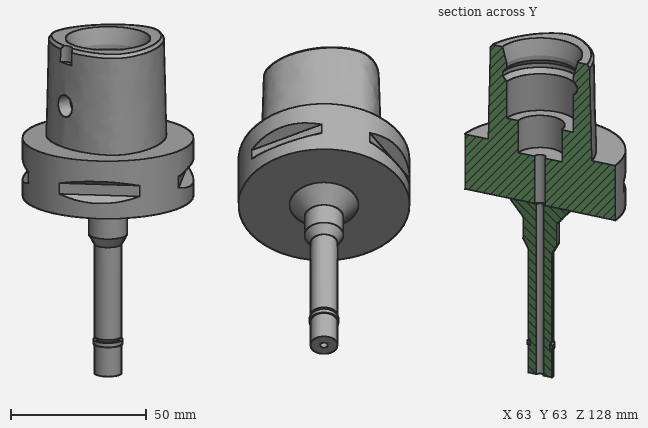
import cadquery as cq
import math


FLANGE_RADIUS = 31.5
FLANGE_HEIGHT = 22.0
SHANK_RADIUS = 22.1
SHANK_LOBE = 1.4
SHANK_HEIGHT = 38.0
SHANK_TAPER = 1 / 20
RIM_CHAMFER_HEIGHT = 1.3
RIM_CHAMFER_INSET = 1.0
PROFILE_POINTS = 72

MOUTH_RADIUS = 15.6
MOUTH_DEPTH = 6.3
BORE_RADIUS = 13.8
BORE_DEPTH = 28.2
BORE_GROOVE_TOP_DEPTH = 8.0
BORE_GROOVE_BOTTOM_DEPTH = 13.6
BORE_GROOVE_CUT = 1.7
BORE_GROOVE_FLANK = 1.9
LOWER_BORE_RADIUS = 9.1
LOWER_BORE_DEPTH = 41.0
ADAPTER_PASSAGE_RADIUS = 2.2

NOTCH_RADIUS = 3.7
NOTCH_OFFSET = 21.5
NOTCH_DEPTH = 6.1
BLIND_HOLE_RADIUS = 4.1
BLIND_HOLE_DROP = 22.3
BLIND_HOLE_FLOOR = 14.5

SLOT_COUNT = 4
SLOT_FIRST_ANGLE = 45
SLOT_FLOOR_DISTANCE = 27.8
SLOT_FLOOR_HEIGHT = 4.1
SLOT_DROP = 12.0
SLOT_FLANK_ANGLE = 30

OVERALL_LENGTH = 128
SHAFT_LENGTH = OVERALL_LENGTH - SHANK_HEIGHT - FLANGE_HEIGHT
ROOT_RADIUS = 12.7
NECK_RADIUS = 7.2
ROOT_CONE_DEPTH = 6.1
NECK_DEPTH = 14.7
NECK_CONE_DEPTH = 18.5
ROD_RADIUS = 5.0
RELIEF_TOP_DEPTH = 53.9
SHAFT_PASSAGE_RADIUS = 1.4

RING_RADIUS = 5.4
RING_SEAT_RADIUS = 4.1
RING_TOP_DEPTH = 55.0
RING_BOTTOM_DEPTH = 56.7

RIM_Z = SHANK_HEIGHT
UNDERSIDE_Z = -FLANGE_HEIGHT


def revolve_profile(points):
    """Revolve (radius, height) points about the Z axis."""
    return cq.Workplane("XZ").polyline(points).close().revolve(360, (0, 0), (0, 1))


def lobed_point(mean_radius, angle):
    """Point of the three-lobed curve whose outward normal lies at the given angle."""
    support = mean_radius - SHANK_LOBE * math.sin(3 * angle)
    slope = -3 * SHANK_LOBE * math.cos(3 * angle)
    x = support * math.cos(angle) - slope * math.sin(angle)
    y = support * math.sin(angle) + slope * math.cos(angle)
    return (x, y)


def lobed_wire(mean_radius, height):
    """Closed lobed outline at one height, starting on the -Y side."""
    points = []
    for index in range(PROFILE_POINTS):
        angle = -math.pi / 2 + 2 * math.pi * index / PROFILE_POINTS
        x, y = lobed_point(mean_radius, angle)
        points.append(cq.Vector(x, y, height))
    return cq.Wire.assembleEdges([cq.Edge.makeSpline(points, periodic=True)])


def shank_radius_at(height):
    return SHANK_RADIUS - height * SHANK_TAPER / 2


def make_shank():
    chamfer_z = RIM_Z - RIM_CHAMFER_HEIGHT
    chamfer_radius = shank_radius_at(chamfer_z)
    base = lobed_wire(SHANK_RADIUS, 0)
    chamfer_start = lobed_wire(chamfer_radius, chamfer_z)
    rim = lobed_wire(chamfer_radius - RIM_CHAMFER_INSET, RIM_Z)
    return cq.Workplane(cq.Solid.makeLoft([base, chamfer_start, rim], True))


def make_bore_cutter():
    groove_radius = BORE_RADIUS + BORE_GROOVE_CUT
    depth_profile = [
        (0, 0),
        (MOUTH_RADIUS, 0),
        (BORE_RADIUS, MOUTH_DEPTH),
        (BORE_RADIUS, BORE_GROOVE_TOP_DEPTH),
        (groove_radius, BORE_GROOVE_TOP_DEPTH + BORE_GROOVE_FLANK),
        (groove_radius, BORE_GROOVE_BOTTOM_DEPTH - BORE_GROOVE_FLANK),
        (BORE_RADIUS, BORE_GROOVE_BOTTOM_DEPTH),
        (BORE_RADIUS, BORE_DEPTH),
        (LOWER_BORE_RADIUS, BORE_DEPTH),
        (LOWER_BORE_RADIUS, LOWER_BORE_DEPTH),
        (ADAPTER_PASSAGE_RADIUS, LOWER_BORE_DEPTH),
        (ADAPTER_PASSAGE_RADIUS, SHANK_HEIGHT + FLANGE_HEIGHT),
        (0, SHANK_HEIGHT + FLANGE_HEIGHT),
    ]
    return revolve_profile([(radius, RIM_Z - depth) for radius, depth in depth_profile])


def make_notch_cutter():
    return (
        cq.Workplane("XY", origin=(0, -NOTCH_OFFSET, RIM_Z - NOTCH_DEPTH))
        .circle(NOTCH_RADIUS)
        .extrude(NOTCH_DEPTH)
    )


def make_blind_hole_cutter():
    return (
        cq.Workplane("XZ", origin=(0, -BLIND_HOLE_FLOOR, RIM_Z - BLIND_HOLE_DROP))
        .circle(BLIND_HOLE_RADIUS)
        .extrude(FLANGE_RADIUS - BLIND_HOLE_FLOOR)
    )


def make_slot_cutter(angle):
    """Straight slot across the flange, with a flat floor and flanks that open outward."""
    half_floor = SLOT_FLOOR_HEIGHT / 2
    slot_depth = FLANGE_RADIUS - SLOT_FLOOR_DISTANCE
    half_mouth = half_floor + slot_depth * math.tan(math.radians(SLOT_FLANK_ANGLE))
    section = [
        (SLOT_FLOOR_DISTANCE, -SLOT_DROP - half_floor),
        (FLANGE_RADIUS, -SLOT_DROP - half_mouth),
        (FLANGE_RADIUS, -SLOT_DROP + half_mouth),
        (SLOT_FLOOR_DISTANCE, -SLOT_DROP + half_floor),
    ]
    slot = cq.Workplane("XZ").polyline(section).close().extrude(FLANGE_RADIUS, both=True)
    return slot.rotate((0, 0, 0), (0, 0, 1), angle)


def make_adapter():
    flange = cq.Workplane("XY").circle(FLANGE_RADIUS).extrude(UNDERSIDE_Z)
    adapter = flange.union(make_shank())
    adapter = adapter.cut(make_bore_cutter())
    adapter = adapter.cut(make_notch_cutter())
    adapter = adapter.cut(make_blind_hole_cutter())
    for index in range(SLOT_COUNT):
        adapter = adapter.cut(make_slot_cutter(SLOT_FIRST_ANGLE + index * 360 / SLOT_COUNT))
    return adapter


def make_shaft():
    depth_profile = [
        (SHAFT_PASSAGE_RADIUS, 0),
        (ROOT_RADIUS, 0),
        (NECK_RADIUS, ROOT_CONE_DEPTH),
        (NECK_RADIUS, NECK_DEPTH),
        (ROD_RADIUS, NECK_CONE_DEPTH),
        (ROD_RADIUS, RELIEF_TOP_DEPTH),
        (RING_SEAT_RADIUS, RING_TOP_DEPTH),
        (RING_SEAT_RADIUS, RING_BOTTOM_DEPTH),
        (ROD_RADIUS, RING_BOTTOM_DEPTH),
        (ROD_RADIUS, SHAFT_LENGTH),
        (SHAFT_PASSAGE_RADIUS, SHAFT_LENGTH),
    ]
    return revolve_profile([(radius, UNDERSIDE_Z - depth) for radius, depth in depth_profile])


def make_ring():
    return (
        cq.Workplane("XY", origin=(0, 0, UNDERSIDE_Z - RING_BOTTOM_DEPTH))
        .circle(RING_RADIUS)
        .circle(RING_SEAT_RADIUS)
        .extrude(RING_BOTTOM_DEPTH - RING_TOP_DEPTH)
    )


adapter = make_adapter()
shaft = make_shaft()
ring = make_ring()

result = cq.Compound.makeCompound([adapter.val(), shaft.val(), ring.val()])